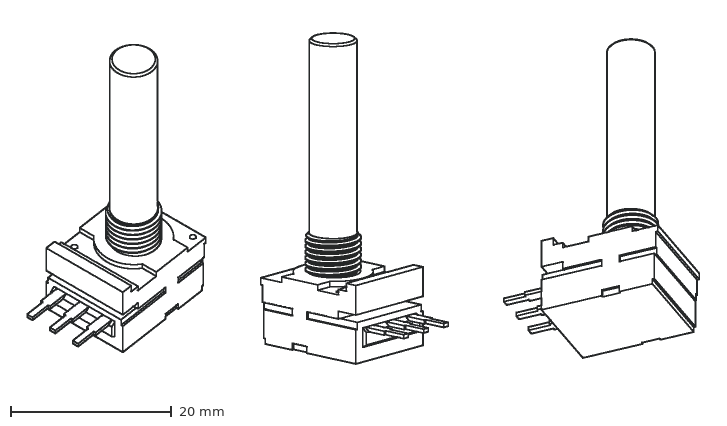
import cadquery as cq


body_width = 12.6
body_front = -9.4

base_top = 4.4
base_back = 6.0
base_foot_height = 0.7
base_foot_back = 5.75
tab_width = 2.4
base_notch_height = 0.85
base_notch_depth = 0.3

cover_top = 5.3
cover_back = 6.2
cover_inset = 0.3

housing_top = 9.1
housing_front = -6.5
ledge_height = 8.4
ledge_lip_bottom = 7.5
ledge_lip_back = 6.5
boss_radius = 5.0
boss_bar_width = 6.0

wall_bottom = 6.3
wall_top = 10.1
wall_step_y = -7.8

pin_hole_diameter = 0.8
pin_hole_depth = 1.0
pin_hole_x = 5.0
pin_hole_y = 5.5

terminal_pitch = 3.75
terminal_thickness = 0.5
terminal_wide = 1.5
terminal_narrow = 0.9
terminal_step_y = -12.5
terminal_tip_y = -15.5
block_width = 10.0
block_front = -10.0
block_bottom = 1.9
block_lower_bevel = 0.4

bushing_length = 5.0
thread_major_radius = 3.5
thread_minor_radius = 3.1
thread_pitch = 0.75
thread_crest_width = 0.1
thread_base_width = 0.7
thread_overlap = 0.1
bushing_chamfer = 0.45
envelope_clearance = 0.1
shaft_radius = 3.0
shaft_length = 25.0
shaft_chamfer = 0.3

bushing_top = housing_top + bushing_length


def layer(width, y_front, y_back, z_bottom, z_top, x_center=0.0):
    """Rectangular block between two Y and two Z positions."""
    return (
        cq.Workplane("XY", origin=(x_center, (y_front + y_back) / 2, z_bottom))
        .rect(width, y_back - y_front)
        .extrude(z_top - z_bottom)
    )


def side_profile(points, width):
    """Closed (Y, Z) outline extruded symmetrically across X."""
    return cq.Workplane("YZ").polyline(points).close().extrude(width / 2, both=True)


def seam_to_front(cylinder):
    """Turn a cylinder so that the seam of its side face lies at -Y, clear of the thread start at +X."""
    return cylinder.rotate((0, 0, 0), (0, 0, 1), -90)


def make_base():
    base = layer(body_width, body_front, base_foot_back, 0, base_top)
    base = base.union(layer(body_width, body_front, base_back, base_foot_height, base_top))
    cover = layer(body_width - 2 * cover_inset, body_front, cover_back, base_top, cover_top)
    tabs = layer(body_width, -tab_width / 2, tab_width / 2, base_top, cover_top)
    base = base.union(cover).union(tabs)
    for side in (-1, 1):
        notch_x = side * (body_width - base_notch_depth) / 2
        notch = layer(base_notch_depth, -tab_width / 2, tab_width / 2, 0, base_notch_height, notch_x)
        base = base.cut(notch)
    return base


def make_housing():
    housing = layer(body_width, housing_front, cover_back, cover_top, ledge_height)
    lip = layer(body_width, housing_front, ledge_lip_back, ledge_lip_bottom, ledge_height)
    bar = layer(body_width, -boss_bar_width / 2, boss_bar_width / 2, ledge_height, housing_top)
    boss = cq.Workplane("XY", origin=(0, 0, ledge_height)).circle(boss_radius)
    boss = boss.extrude(housing_top - ledge_height)
    pin_holes = (
        cq.Workplane("XY", origin=(0, 0, ledge_height))
        .pushPoints([(pin_hole_x, pin_hole_y), (-pin_hole_x, -pin_hole_y)])
        .circle(pin_hole_diameter / 2)
        .extrude(-pin_hole_depth)
    )
    return housing.union(lip).union(bar).union(boss).cut(pin_holes)


def make_front_wall():
    return side_profile(
        [
            (housing_front, wall_bottom),
            (body_front, wall_bottom),
            (body_front, wall_top),
            (wall_step_y, wall_top),
            (wall_step_y, housing_top),
            (housing_front, housing_top),
        ],
        body_width,
    )


def make_terminal_block():
    return side_profile(
        [
            (body_front, block_bottom),
            (block_front, block_bottom + block_lower_bevel),
            (block_front, base_top - terminal_thickness),
            (body_front, base_top),
        ],
        block_width,
    )


def make_terminal(x):
    bottom = base_top - terminal_thickness
    blade = layer(terminal_wide, terminal_step_y, body_front, bottom, base_top, x)
    tip = layer(terminal_narrow, terminal_tip_y, terminal_step_y, bottom, base_top, x)
    return blade.union(tip)


def make_bushing():
    """Core with a right-hand helical ridge, trimmed to a chamfered cylinder."""
    start = housing_top - thread_pitch
    height = bushing_length + 2 * thread_pitch
    core = cq.Workplane("XY", origin=(0, 0, start)).circle(thread_minor_radius).extrude(height)
    core = seam_to_front(core)
    path = cq.Wire.makeHelix(thread_pitch, height, thread_minor_radius).translate(cq.Vector(0, 0, start))
    inner = thread_minor_radius - thread_overlap
    ridge = (
        cq.Workplane("XZ")
        .polyline(
            [
                (inner, start - thread_base_width / 2),
                (thread_major_radius, start - thread_crest_width / 2),
                (thread_major_radius, start + thread_crest_width / 2),
                (inner, start + thread_base_width / 2),
            ]
        )
        .close()
        .sweep(cq.Workplane(path), isFrenet=True)
    )
    envelope = (
        cq.Workplane("XY", origin=(0, 0, housing_top))
        .circle(thread_major_radius + envelope_clearance)
        .extrude(bushing_length)
        .faces(">Z")
        .chamfer(bushing_chamfer + envelope_clearance)
    )
    return core.union(ridge).intersect(envelope)


def make_shaft():
    shaft = (
        cq.Workplane("XY", origin=(0, 0, bushing_top))
        .circle(shaft_radius)
        .extrude(shaft_length)
        .faces(">Z")
        .chamfer(shaft_chamfer)
    )
    return seam_to_front(shaft)


result = make_base().union(make_housing()).union(make_front_wall()).union(make_terminal_block())
for position in (-1, 0, 1):
    result = result.union(make_terminal(position * terminal_pitch))
result = result.union(make_bushing()).union(make_shaft())